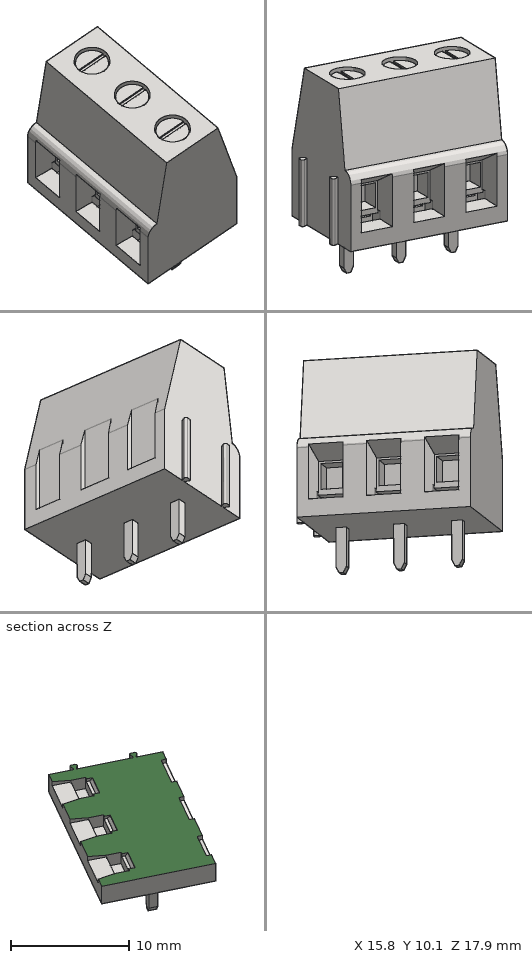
import cadquery as cq
import math

terminal_count = 3
pitch = 5.08
overall_height = 17.9

housing_length = 15.23
housing_depth = 10.1
housing_height = 14.0
shoulder_height = 6.0
lip_radius = 1.0
top_front_y = 2.11
top_back_y = 7.95

rib_length = 0.6
rib_root_width = 0.25
rib_tip_width = 0.86
rib_tip_radius = 0.17
rib_positions_y = (2.35, 7.63)

pin_length = overall_height - housing_height
pin_width = 0.93
pin_thickness = 0.77
pin_tip_width = 0.4
pin_tip_height = 0.52
pin_y = 5.2

screw_y = housing_depth / 2
screw_bore_diameter = 3.0
screw_diameter = 2.8
screw_recess = 0.29
screw_gap_depth = 0.54
screw_slot_width = 0.32
screw_slot_depth = 0.15

entry_width = 3.0
entry_floor = 1.52
entry_top = 6.3
entry_depth = 1.92
entry_side_inset = 0.35
entry_floor_rise = 0.3
entry_top_drop = 1.16

clamp_hole_width = 1.92
clamp_hole_bottom = 2.72
clamp_hole_height = 2.24
clamp_hole_depth = 1.79
clamp_bottom = 2.22

chamber_start = 1.58
chamber_width = entry_width - 2 * entry_side_inset * chamber_start / entry_depth
chamber_floor = 0.72
chamber_top = 2.47
chamber_end = 2.86
chamber_niche_width = 1.99
chamber_niche_depth = 0.54
chamber_niche_floor = 1.66
chamber_niche_ramp = 0.25

back_recess_floor = entry_floor
back_recess_top = 7.88
back_recess_depth = 0.45
back_recess_width = 3.0
back_recess_draft = 0.07
plain_recess_width = 2.56

terminal_positions = [pitch * (i - (terminal_count - 1) / 2) for i in range(terminal_count)]


def box(width, y_start, y_end, z_bottom, z_top, x_center):
    """Box centred on x_center that spans the given Y and Z ranges."""
    return (
        cq.Workplane("XY")
        .box(width, y_end - y_start, z_top - z_bottom, centered=(True, False, False))
        .translate((x_center, y_start, z_bottom))
    )


def make_housing():
    """Extruded end profile: sloped front and back above a rounded front lip."""
    arc_mid = lip_radius * math.cos(math.radians(45))
    return (
        cq.Workplane("YZ")
        .moveTo(0, 0)
        .lineTo(housing_depth, 0)
        .lineTo(housing_depth, shoulder_height)
        .lineTo(top_back_y, housing_height)
        .lineTo(top_front_y, housing_height)
        .lineTo(lip_radius, shoulder_height + lip_radius)
        .threePointArc((lip_radius - arc_mid, shoulder_height + arc_mid), (0, shoulder_height))
        .close()
        .extrude(housing_length / 2, both=True)
    )


def make_rib(y_center):
    """Dovetail rib with rounded outer corners."""
    root_x = -housing_length / 2
    tip_x = root_x - rib_length
    return (
        cq.Workplane("XY")
        .polyline([
            (root_x, y_center - rib_root_width / 2),
            (root_x, y_center + rib_root_width / 2),
            (tip_x, y_center + rib_tip_width / 2),
            (tip_x, y_center - rib_tip_width / 2),
        ])
        .close()
        .extrude(shoulder_height)
        .edges("|Z and <X")
        .fillet(rib_tip_radius)
    )


def make_pin(x):
    """Flat pin below the housing with a tapered tip."""
    taper_z = pin_tip_height - pin_length
    return (
        cq.Workplane("XZ")
        .polyline([
            (x - pin_width / 2, 0),
            (x - pin_width / 2, taper_z),
            (x - pin_tip_width / 2, -pin_length),
            (x + pin_tip_width / 2, -pin_length),
            (x + pin_width / 2, taper_z),
            (x + pin_width / 2, 0),
        ])
        .close()
        .extrude(pin_thickness / 2, both=True)
        .translate((0, pin_y, 0))
    )


def make_screw_cut(x):
    """Material removed around and above a recessed slotted screw head."""
    screw_top = housing_height - screw_recess
    bore = (
        cq.Workplane("XY", origin=(x, screw_y, screw_top - screw_gap_depth))
        .circle(screw_bore_diameter / 2)
        .extrude(screw_recess + screw_gap_depth)
    )
    screw = (
        cq.Workplane("XY", origin=(x, screw_y, screw_top - screw_gap_depth))
        .circle(screw_diameter / 2)
        .extrude(screw_gap_depth)
    )
    slot = box(
        screw_slot_width,
        screw_y - screw_diameter / 2,
        screw_y + screw_diameter / 2,
        screw_top - screw_slot_depth,
        screw_top,
        x,
    )
    return bore.cut(screw.cut(slot))


def make_funnel(x, y_wide, y_narrow, wide, narrow):
    """Loft between two rectangles, each given as (width, bottom, top)."""
    wires = []
    for y, (width, bottom, top) in ((y_wide, wide), (y_narrow, narrow)):
        corners = [
            cq.Vector(x - width / 2, y, bottom),
            cq.Vector(x + width / 2, y, bottom),
            cq.Vector(x + width / 2, y, top),
            cq.Vector(x - width / 2, y, top),
        ]
        wires.append(cq.Wire.makePolygon(corners, close=True))
    return cq.Workplane(obj=cq.Solid.makeLoft(wires, True))


def make_wire_entry(x):
    """Funnel, clamp hole and the chamber that runs on below the clamp."""
    funnel = make_funnel(
        x, 0, entry_depth,
        (entry_width, entry_floor, entry_top),
        (entry_width - 2 * entry_side_inset, entry_floor + entry_floor_rise, entry_top - entry_top_drop),
    )
    clamp_hole = box(
        clamp_hole_width,
        entry_depth,
        entry_depth + clamp_hole_depth,
        clamp_hole_bottom,
        clamp_hole_bottom + clamp_hole_height,
        x,
    )
    chamber_front = box(chamber_width, chamber_start, entry_depth, chamber_floor, chamber_top, x)
    chamber = box(chamber_width, entry_depth, chamber_end, chamber_floor, clamp_bottom, x)
    niche = (
        box(
            chamber_niche_width,
            chamber_end,
            chamber_end + chamber_niche_depth,
            chamber_niche_floor,
            clamp_bottom,
            x,
        )
        .edges("|X and >Y and <Z")
        .chamfer(chamber_niche_ramp)
    )
    return funnel.union(clamp_hole).union(chamber_front).union(chamber).union(niche)


def make_back_recess(x, drafted):
    """Shallow recess in the back face, with drafted or straight walls."""
    width = back_recess_width if drafted else plain_recess_width
    draft = back_recess_draft if drafted else 0
    return make_funnel(
        x, housing_depth, housing_depth - back_recess_depth,
        (width, back_recess_floor, back_recess_top + draft),
        (width - 2 * draft, back_recess_floor + draft, back_recess_top),
    )


result = make_housing()
for rib_y in rib_positions_y:
    result = result.union(make_rib(rib_y))

for terminal_x in terminal_positions:
    is_last = terminal_x == terminal_positions[-1]
    result = result.union(make_pin(terminal_x))
    result = result.cut(make_screw_cut(terminal_x))
    result = result.cut(make_wire_entry(terminal_x))
    result = result.cut(make_back_recess(terminal_x, drafted=not is_last))